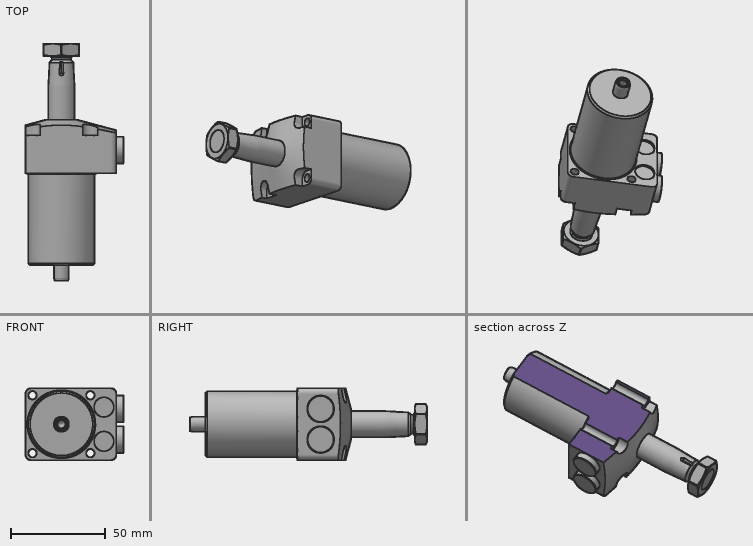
import cadquery as cq
import math


BLOCK_LEFT = -19.0
BLOCK_RIGHT = 29.0
BLOCK_DEPTH = 38.0
BLOCK_CORNER_RADIUS = 3.0
BLOCK_TOP = 28.4
ROOF_FLAT_RADIUS = 8.0
ROOF_SLOPE = 15.0

BARREL_DIAMETER = 35.0
BARREL_LENGTH = 48.4
BARREL_CHAMFER = 1.0
COLLAR_DIAMETER = 36.0
COLLAR_HEIGHT = 0.4

HOLE_OFFSET = 15.25
HOLE_DIAMETER = 4.3
SEAT_RADIUS = 4.0
SEAT_LEVEL = 20.1

PORT_X = 22.4
PORT_Z = 9.0
PORT_DIAMETER = 10.4
PORT_DEPTH = 1.2

PLUG_DIAMETER = 14.2
PLUG_LENGTH = 3.8
PLUG_Y = 12.3
PLUG_Z = 8.1
PLUG_CHAMFER = 0.3

ROD_DIAMETER = 14.0
TAPER_START = 46.15
TAPER_END = 58.4
TAPER_RATIO = 0.1
THREAD_DIAMETER = 12.0
UNDERCUT_DIAMETER = 10.2
SHOULDER_CHAMFER = 1.5
UNDERCUT_TOP = 61.1
SPIGOT_DIAMETER = 8.0
SPIGOT_LENGTH = 8.2
SPIGOT_CHAMFER_HEIGHT = 1.4
SPIGOT_CHAMFER = 0.4
END_WALL = 8.0
TAP_DIAMETER = 4.2
TAP_MOUTH_DIAMETER = 5.6
TAP_DEPTH = 10.0
TAP_POINT_ANGLE = 118.0

MARK_FLOOR = 5.45
MARK_START = 52.9
MARK_END = 58.8

NUT_BOTTOM = 61.85
NUT_HEIGHT = 6.55
NUT_ACROSS_FLATS = 19.0
NUT_CORNER_DIAMETER = 21.6
NUT_FACE_DIAMETER = 18.6
NUT_CHAMFER_HEIGHT = 0.7

NUT_TOP = NUT_BOTTOM + NUT_HEIGHT
SPIGOT_END = -BARREL_LENGTH - SPIGOT_LENGTH
BORE_FLOOR = END_WALL - BARREL_LENGTH


def turned(points):
    """Solid of revolution about the Y axis from (radius, y) points."""
    return cq.Workplane("ZY").polyline(points).close().revolve(360, (0, 0, 0), (0, 1, 0))


def disc(x, z, diameter, bottom, top):
    """Cylinder along Y at (x, z), from y = bottom to y = top."""
    plane = cq.Plane(origin=(x, bottom, z), xDir=(1, 0, 0), normal=(0, 1, 0))
    return cq.Workplane(plane).circle(diameter / 2).extrude(top - bottom)


def box(x_range, y_range, z_range):
    """Axis-aligned box from its (low, high) limits on each axis."""
    lows, highs = zip(x_range, y_range, z_range)
    size = [high - low for low, high in zip(lows, highs)]
    return cq.Workplane("XY").box(*size, centered=False).translate(lows)


def roofed_block():
    """Rounded block whose upper end slopes away as a cone about the piston axis."""
    half_depth = BLOCK_DEPTH / 2
    block = box((BLOCK_LEFT, BLOCK_RIGHT), (0, BLOCK_TOP), (-half_depth, half_depth))
    block = block.edges("|Y").fillet(BLOCK_CORNER_RADIUS)
    reach = BLOCK_RIGHT + half_depth
    eaves = BLOCK_TOP - (reach - ROOF_FLAT_RADIUS) * math.tan(math.radians(ROOF_SLOPE))
    roof = turned([(0, 0), (reach, 0), (reach, eaves), (ROOF_FLAT_RADIUS, BLOCK_TOP), (0, BLOCK_TOP)])
    return block.intersect(roof)


def screw_seat(x_side, z_side):
    """Pocket above one mounting hole, open to the wall it lies at, and to both walls at -X."""
    x = x_side * HOLE_OFFSET
    z = z_side * HOLE_OFFSET
    outer_z = z_side * BLOCK_DEPTH / 2
    levels = (SEAT_LEVEL, BLOCK_TOP)
    seat = disc(x, z, 2 * SEAT_RADIUS, *levels)
    seat = seat.union(box((x - SEAT_RADIUS, x + SEAT_RADIUS), levels, sorted((z, outer_z))))
    if x_side < 0:
        inner_z = z - z_side * SEAT_RADIUS
        seat = seat.union(box((x - SEAT_RADIUS, x), levels, sorted((inner_z, outer_z))))
    return seat


def make_housing():
    """Block and barrel in one piece, bored for the piston rod."""
    radius = BARREL_DIAMETER / 2
    barrel = turned([
        (0, 0),
        (COLLAR_DIAMETER / 2, 0),
        (COLLAR_DIAMETER / 2, -COLLAR_HEIGHT),
        (radius, -COLLAR_HEIGHT),
        (radius, BARREL_CHAMFER - BARREL_LENGTH),
        (radius - BARREL_CHAMFER, -BARREL_LENGTH),
        (0, -BARREL_LENGTH),
    ])
    housing = roofed_block().union(barrel)
    for x_side in (-1, 1):
        for z_side in (-1, 1):
            hole = disc(x_side * HOLE_OFFSET, z_side * HOLE_OFFSET, HOLE_DIAMETER, 0, BLOCK_TOP)
            housing = housing.cut(hole).cut(screw_seat(x_side, z_side))
    for z_side in (-1, 1):
        housing = housing.cut(disc(PORT_X, z_side * PORT_Z, PORT_DIAMETER, 0, PORT_DEPTH))
    rod_bore = disc(0, 0, ROD_DIAMETER, BORE_FLOOR, BLOCK_TOP)
    spigot_bore = disc(0, 0, SPIGOT_DIAMETER, -BARREL_LENGTH, BORE_FLOOR)
    return housing.cut(rod_bore).cut(spigot_bore)


def make_plug(z):
    """Round plug standing on the +X wall of the block."""
    wall = cq.Workplane("YZ", origin=(BLOCK_RIGHT, PLUG_Y, z))
    return wall.circle(PLUG_DIAMETER / 2).extrude(PLUG_LENGTH).faces(">X").chamfer(PLUG_CHAMFER)


def marking_groove():
    """90-degree V-groove along the taper, with a half-cone lower end."""
    height = ROD_DIAMETER / 2 - MARK_FLOOR
    end = cq.Workplane(cq.Solid.makeCone(0, height, height, cq.Vector(0, MARK_START, MARK_FLOOR)))
    plane = cq.Plane(origin=(0, MARK_START, MARK_FLOOR), xDir=(1, 0, 0), normal=(0, 1, 0))
    run = cq.Workplane(plane).polyline([(0, 0), (height, -height), (-height, -height)]).close()
    return run.extrude(MARK_END - MARK_START).union(end)


def tapped_hole():
    """Countersunk blind hole in the free end of the spigot, with a drill-point floor."""
    radius = TAP_DIAMETER / 2
    mouth = TAP_MOUTH_DIAMETER / 2
    floor = SPIGOT_END + TAP_DEPTH
    point = radius / math.tan(math.radians(TAP_POINT_ANGLE / 2))
    return turned([
        (0, SPIGOT_END),
        (mouth, SPIGOT_END),
        (radius, SPIGOT_END + mouth - radius),
        (radius, floor),
        (0, floor + point),
    ])


def make_piston_rod():
    """Rod with spigot, clamping taper, thread undercut and threaded end."""
    radius = ROD_DIAMETER / 2
    taper_radius = radius - (TAPER_END - TAPER_START) * TAPER_RATIO / 2
    undercut = UNDERCUT_DIAMETER / 2
    thread = THREAD_DIAMETER / 2
    spigot = SPIGOT_DIAMETER / 2
    rod = turned([
        (0, SPIGOT_END),
        (spigot - SPIGOT_CHAMFER, SPIGOT_END),
        (spigot, SPIGOT_END + SPIGOT_CHAMFER_HEIGHT),
        (spigot, BORE_FLOOR),
        (radius, BORE_FLOOR),
        (radius, TAPER_START),
        (taper_radius, TAPER_END),
        (undercut, TAPER_END + SHOULDER_CHAMFER),
        (undercut, UNDERCUT_TOP),
        (thread, NUT_BOTTOM),
        (thread, NUT_TOP),
        (0, NUT_TOP),
    ])
    return rod.cut(marking_groove()).cut(tapped_hole())


def make_nut():
    """Hexagon nut with flats facing +X and -X, its corners turned down and chamfered."""
    corner = NUT_CORNER_DIAMETER / 2
    face = NUT_FACE_DIAMETER / 2
    across_corners = NUT_ACROSS_FLATS / math.cos(math.pi / 6)
    plane = cq.Plane(origin=(0, NUT_BOTTOM, 0), xDir=(0, 0, 1), normal=(0, 1, 0))
    hexagon = cq.Workplane(plane).polygon(6, across_corners).extrude(NUT_HEIGHT)
    turned_blank = turned([
        (0, NUT_BOTTOM),
        (face, NUT_BOTTOM),
        (corner, NUT_BOTTOM + NUT_CHAMFER_HEIGHT),
        (corner, NUT_TOP - NUT_CHAMFER_HEIGHT),
        (face, NUT_TOP),
        (0, NUT_TOP),
    ])
    return hexagon.intersect(turned_blank).cut(disc(0, 0, THREAD_DIAMETER, NUT_BOTTOM, NUT_TOP))


housing = make_housing()
piston_rod = make_piston_rod()
nut = make_nut()
plugs = [make_plug(z_side * PLUG_Z) for z_side in (-1, 1)]

result = cq.Compound.makeCompound([
    housing.val(),
    piston_rod.val(),
    nut.val(),
    *[plug.val() for plug in plugs],
])